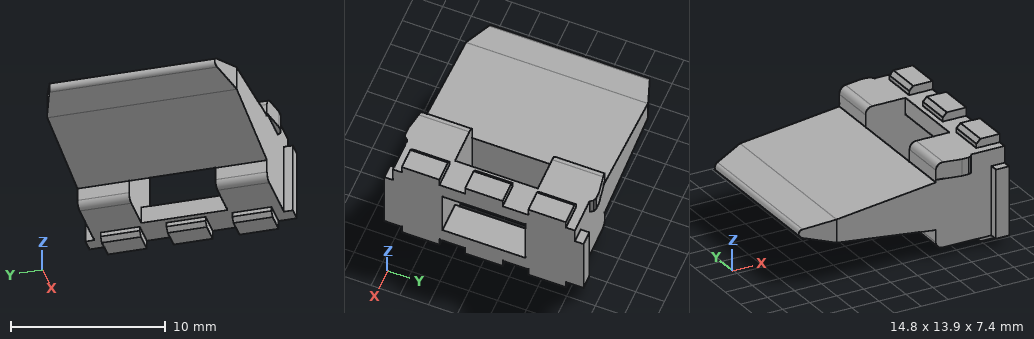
import cadquery as cq
import math

length = 14.8
shoulder_x = 9.7
bevel_x = 2.34

body_width = 12.7
block_height = 6.2
block_round = 0.5
wedge_half_height = 1.72
bevel_half_height = 0.85
tip_radius = 0.33
tip_width = 11.04

cavity_width = 5.77
cavity_height = 3.79
window_length = 2.96

tooth_length = 1.75
tooth_width = 2.62
tooth_pitch = 4.41
tooth_chamfer = 0.3
total_height = 7.4

rail_length = 0.99
total_width = 13.9

ear_width = 13.32
ear_ramp_end_x = 11.43
ear_crest_end_x = 11.95
ear_bevel_end_x = 12.17
ear_end_x = 12.31
ear_bevel_drop = 0.09

half_body = body_width / 2
half_block = block_height / 2
half_cavity = cavity_height / 2
plate_thickness = half_block - half_cavity


def box(x_min, x_max, y_min, y_max, z_min, z_max):
    """Box given by its limits on each axis."""
    size = (x_max - x_min, y_max - y_min, z_max - z_min)
    return cq.Workplane("XY").box(*size, centered=False).translate((x_min, y_min, z_min))


def make_wedge():
    """Tapered blade with a round tip tangent to both bevels and narrowed tip corners."""
    run = bevel_x - tip_radius
    bevel_angle = math.atan2(bevel_half_height, run) - math.asin(
        tip_radius / math.hypot(run, bevel_half_height)
    )
    tangent_x = tip_radius * (1 - math.sin(bevel_angle))
    tangent_z = tip_radius * math.cos(bevel_angle)
    blade = (
        cq.Workplane("XZ")
        .moveTo(tangent_x, -tangent_z)
        .threePointArc((0, 0), (tangent_x, tangent_z))
        .lineTo(bevel_x, bevel_half_height)
        .lineTo(shoulder_x, wedge_half_height)
        .lineTo(shoulder_x, -wedge_half_height)
        .lineTo(bevel_x, -bevel_half_height)
        .close()
        .extrude(half_body, both=True)
    )
    half_tip = tip_width / 2
    plan = (
        cq.Workplane("XY")
        .polyline([
            (0, -half_tip),
            (bevel_x, -half_body),
            (shoulder_x, -half_body),
            (shoulder_x, half_body),
            (bevel_x, half_body),
            (0, half_tip),
        ])
        .close()
        .extrude(wedge_half_height, both=True)
    )
    return blade.intersect(plan)


def make_ears():
    """Ramped bulges on both sides of the top plate, with a rounded front edge."""
    half_ear = ear_width / 2
    ears = cq.Workplane("XY")
    for side in (-1, 1):
        ear = (
            cq.Workplane("XY")
            .workplane(offset=half_cavity)
            .moveTo(shoulder_x, 0)
            .lineTo(shoulder_x, side * half_body)
            .lineTo(ear_ramp_end_x, side * half_ear)
            .lineTo(ear_crest_end_x, side * half_ear)
            .lineTo(ear_bevel_end_x, side * (half_ear - ear_bevel_drop))
            .lineTo(ear_end_x, side * half_body)
            .lineTo(ear_end_x, 0)
            .close()
            .extrude(plate_thickness)
        )
        ears = ears.add(ear)
    return ears.combine().faces("<X").edges(">Z").fillet(block_round)


def make_block():
    """Rear block with its ears, hollowed by the cavity and the windows."""
    block = box(shoulder_x, length, -half_body, half_body, -half_block, half_block)
    block = block.faces("<X").edges("|Y").fillet(block_round)
    half_opening = cavity_width / 2
    cavity = box(shoulder_x, length, -half_opening, half_opening, -half_cavity, half_cavity)
    windows = box(
        shoulder_x, shoulder_x + window_length, -half_opening, half_opening, -half_block, half_block
    )
    return block.union(make_ears()).cut(cavity).cut(windows)


def make_teeth():
    """Three chamfered teeth on the top and three on the bottom."""
    half_total = total_height / 2
    front_x = length - tooth_length
    teeth = cq.Workplane("XY")
    for column in (-1, 0, 1):
        centre_y = column * tooth_pitch
        y_limits = (centre_y - tooth_width / 2, centre_y + tooth_width / 2)
        top = box(front_x, length, *y_limits, half_block, half_total)
        top = top.faces("<X").edges(">Z").chamfer(tooth_chamfer)
        teeth = teeth.add(top).add(top.mirror("XY"))
    return teeth.combine()


def make_rails():
    """Upright rails on both sides at the back."""
    rail = box(length - rail_length, length, half_body, total_width / 2, -half_block, half_cavity)
    return rail.union(rail.mirror("XZ"))


result = make_wedge().union(make_block()).union(make_teeth()).union(make_rails())